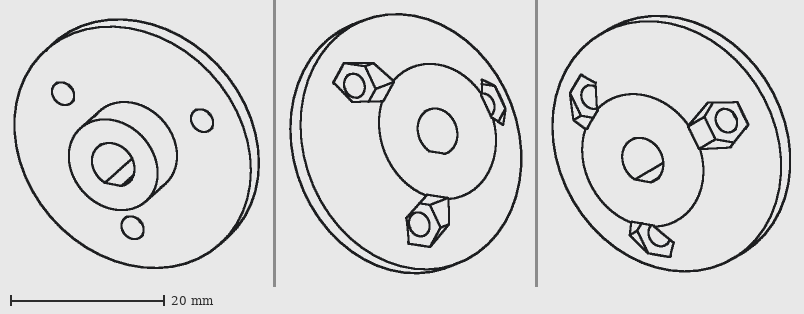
import cadquery as cq

flange_diameter = 34.0
rim_thickness = 2.5
cone_height = 6.5
cone_end_diameter = 18.02
hub_diameter = 12.8
hub_length = 6.0

bore_diameter = 6.12
bore_flat_distance = 2.82

screw_count = 3
screw_circle_radius = 11.53
screw_hole_diameter = 3.2
first_screw_angle = 30.0
nut_corner_width = 6.53
nut_pocket_depth = 4.45

back_y = rim_thickness + cone_height
total_length = hub_length + back_y


def plane_at(y):
    """Plane across the axis, with local x along X, local y along Z and its normal along -Y."""
    return cq.Workplane("XZ", origin=(0, y, 0))


def make_body():
    """Hub, rim and tapered back revolved about the Y axis."""
    flange_radius = flange_diameter / 2
    hub_radius = hub_diameter / 2
    return (
        cq.Workplane("XY")
        .moveTo(0, -hub_length)
        .lineTo(hub_radius, -hub_length)
        .lineTo(hub_radius, 0)
        .lineTo(flange_radius, 0)
        .lineTo(flange_radius, rim_thickness)
        .lineTo(cone_end_diameter / 2, back_y)
        .lineTo(0, back_y)
        .close()
        .revolve(360, (0, 0, 0), (0, 1, 0))
    )


def make_bore():
    """D-shaped through bore with its flat on the -Z side."""
    bore = plane_at(back_y).circle(bore_diameter / 2).extrude(total_length)
    keep_above_flat = (
        plane_at(back_y)
        .center(0, bore_diameter / 2 - bore_flat_distance)
        .rect(bore_diameter, bore_diameter)
        .extrude(total_length)
    )
    return bore.intersect(keep_above_flat)


def on_screw_circle(y):
    """Screw centres on a plane across the axis."""
    return plane_at(y).polarArray(
        screw_circle_radius, first_screw_angle, 360, screw_count, rotate=False
    )


def make_screw_holes():
    return on_screw_circle(back_y).circle(screw_hole_diameter / 2).extrude(back_y)


def make_nut_pockets():
    """Hexagonal nut pockets sunk from the back face, with two corners along X."""
    return on_screw_circle(back_y).polygon(6, nut_corner_width).extrude(nut_pocket_depth)


result = (
    make_body()
    .cut(make_bore())
    .cut(make_screw_holes())
    .cut(make_nut_pockets())
)